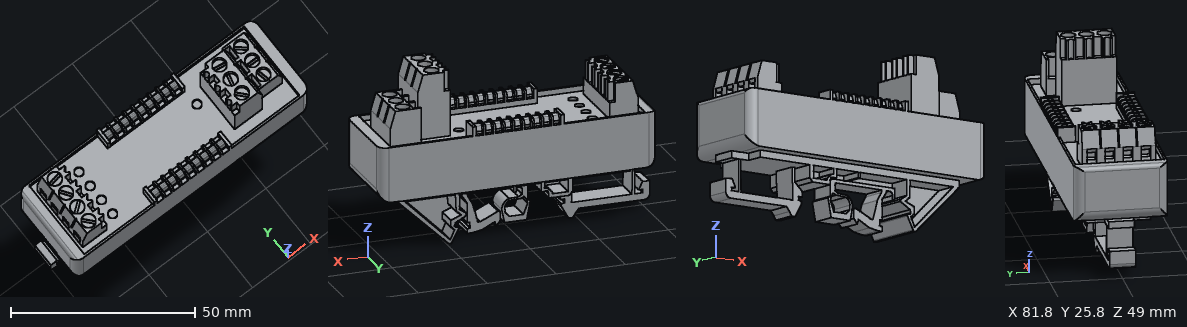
import cadquery as cq
import math


CASE_LENGTH = 80.55
CASE_WIDTH = 25.8
CASE_HEIGHT = 16.0
CORNER_RADIUS = 2.6
BOTTOM_RADIUS = 3.5
TOP_EDGE_RADIUS = 1.15
POCKET_START = 3.5
POCKET_END = 77.2
POCKET_WIDTH = 24.5
POCKET_DEPTH = 1.6
FLOOR_Z = CASE_HEIGHT - POCKET_DEPTH

INDICATOR_DIAMETER = 2.6
INDICATOR_DEPTH = 0.8
INDICATOR_ROW_X = 16.9
SINGLE_INDICATOR = (54.0, 3.1)

POLE_PITCH = 5.0
END_ALLOWANCE = 0.25
LOW_BLOCK_TOP = 24.7
TALL_BLOCK_TOP = 33.1
SLOPE_RUN = 1.5
SLOPE_HEIGHT = 4.9
SCREW_DIAMETER = 4.0
SLOT_WIDTH = 0.7
SLOT_DEPTH = 0.5
NOTCH_DEPTH = 1.7
NOTCH_HEIGHT = 5.5
TOOTH_WIDTH = 2.6
RIB_GROOVE_RADIUS = 0.78
REAR_POCKET_WIDTH = 4.0
REAR_POCKET_DEPTH = 2.05
JOINT_GROOVE_WIDTH = 0.3
JOINT_GROOVE_DEPTH = 0.25
SHALLOW_RECESS = 0.5
DEEP_RECESS = 1.7

LEFT_BLOCK_X = 4.7
LEFT_BLOCK_LENGTH = 8.25
LEFT_SCREW_X = 4.0
LEFT_SLOT_ANGLES = (-48, 38, -55, 10)
TALL_BLOCK_X = 67.05
TALL_BLOCK_LENGTH = 9.4
TALL_SCREW_X = 4.9
TALL_BLOCK_Y = -1.2
TALL_SLOT_ANGLES = (-8, 76, -48)
END_BLOCK_X = 76.0
END_BLOCK_LENGTH = END_BLOCK_X - TALL_BLOCK_X
END_SCREW_X = 4.5
END_BLOCK_Y = 1.3
END_SLOT_ANGLES = (-42, 0, -78)

ENTRY_WIDTH = 2.6
ENTRY_HEIGHT = 4.3
ENTRY_BORE_HEIGHT = 2.05
ENTRY_FUNNEL_DEPTH = 0.37
ENTRY_DEPTH = 2.45

STRIP_START = 27.1
STRIP_LENGTH = 26.5
STRIP_WIDTH = 5.0
STRIP_TOP = 18.7
CONTACT_COUNT = 9
END_PLATE = 1.0
DIVIDER = 0.61
DIVIDER_RADIUS = 1.0
CONTACT_HALF_WIDTH = 1.3
CONTACT_SHOULDER_Z = 16.8
CONTACT_BEND_Z = 18.2
CONTACT_CREST_Z = 18.6

FOOT_WIDTH = 18.0
BAR_START = 6.5
BAR_END = 73.75
CLIP_WIDTH = 7.2
HOOK_TIP_X = -1.2
BAR_Z = -2.0
FLANGE_TOP = -3.5
FLANGE_BOTTOM = -4.5
STOP_END = 32.3
HOOK_START = 55.9
CROSS_RIB_X = 39.5
CROSS_RIB_WIDTH = 0.7
FOOT_BOTTOM = -15.95
WEB_WIDTH = 4.9


def box(x0, x1, y0, y1, z0, z1):
    """Box between two corners."""
    return cq.Workplane("XY").box(x1 - x0, y1 - y0, z1 - z0, centered=False).translate((x0, y0, z0))


def side_plate(outline, width, centre_y=0.0):
    """Extrude a closed XZ outline along Y, symmetric about centre_y."""
    return outline.extrude(width / 2, both=True).translate((0, centre_y, 0))


def side_polygon(points, width, centre_y=0.0):
    """Plate with a straight-sided XZ outline."""
    return side_plate(cq.Workplane("XZ").polyline(points).close(), width, centre_y)


def make_case():
    """Rounded case whose end faces meet the side roundings in mitres."""
    diagonal = 1 - math.sqrt(0.5)
    bottom_mid = BOTTOM_RADIUS * diagonal
    top_mid = TOP_EDGE_RADIUS * diagonal
    side = (
        cq.Workplane("XZ")
        .moveTo(BOTTOM_RADIUS, 0)
        .threePointArc((bottom_mid, bottom_mid), (0, BOTTOM_RADIUS))
        .lineTo(0, CASE_HEIGHT - TOP_EDGE_RADIUS)
        .threePointArc((top_mid, CASE_HEIGHT - top_mid), (TOP_EDGE_RADIUS, CASE_HEIGHT))
        .lineTo(CASE_LENGTH, CASE_HEIGHT)
        .lineTo(CASE_LENGTH, BOTTOM_RADIUS)
        .threePointArc((CASE_LENGTH - bottom_mid, bottom_mid), (CASE_LENGTH - BOTTOM_RADIUS, 0))
        .close()
    )
    half = CASE_WIDTH / 2
    plan = box(0, CASE_LENGTH, -half, half, 0, CASE_HEIGHT).edges("|Z").fillet(CORNER_RADIUS)
    pocket = box(POCKET_START, POCKET_END, -POCKET_WIDTH / 2, POCKET_WIDTH / 2, FLOOR_Z, CASE_HEIGHT)
    indicator_row = [(INDICATOR_ROW_X, y) for y in pole_positions(len(LEFT_SLOT_ANGLES))]
    holes = (
        cq.Workplane("XY", origin=(0, 0, FLOOR_Z))
        .pushPoints(indicator_row + [SINGLE_INDICATOR])
        .circle(INDICATOR_DIAMETER / 2)
        .extrude(-INDICATOR_DEPTH)
    )
    return side_plate(side, CASE_WIDTH).intersect(plan).cut(pocket).cut(holes)


def pole_positions(poles):
    """Y positions of the poles of a block centred on Y = 0."""
    return [(i - (poles - 1) / 2) * POLE_PITCH for i in range(poles)]


def terminal_block(length, top, slot_angles, screw_x, recess):
    """Block with its sloped wire side at X = 0, screws recessed in its top.

    The slot angles are listed from the lowest pole in Y to the highest.
    """
    poles = len(slot_angles)
    width = poles * POLE_PITCH + END_ALLOWANCE
    slope_z = top - SLOPE_HEIGHT
    body = side_polygon(
        [(0, FLOOR_Z), (0, slope_z), (SLOPE_RUN, top), (length, top), (length, FLOOR_Z)], width
    )
    for y, angle in zip(pole_positions(poles), slot_angles):
        well = cq.Workplane("XY").circle(SCREW_DIAMETER / 2).extrude(recess)
        slot = cq.Workplane("XY").rect(SCREW_DIAMETER, SLOT_WIDTH).extrude(-SLOT_DEPTH)
        slot = slot.rotate((0, 0, 0), (0, 0, 1), angle)
        slot = slot.intersect(cq.Workplane("XY").circle(SCREW_DIAMETER / 2).extrude(-SLOT_DEPTH))
        floor_centre = (screw_x, y, top - recess)
        body = body.cut(well.translate(floor_centre)).cut(slot.translate(floor_centre))
    joint = [
        (-JOINT_GROOVE_DEPTH, slope_z),
        (SLOPE_RUN - JOINT_GROOVE_DEPTH, top),
        (SLOPE_RUN + JOINT_GROOVE_DEPTH, top),
        (JOINT_GROOVE_DEPTH, slope_z),
    ]
    for y in pole_positions(poles - 1):
        body = body.cut(side_polygon(joint, JOINT_GROOVE_WIDTH, y))
    return body


def cut_toothed_back(body, length, top, poles):
    """Leave one grooved tooth per pole along the upper back edge."""
    half = (poles * POLE_PITCH + END_ALLOWANCE) / 2
    notch = box(length - NOTCH_DEPTH, length, -half, half, top - NOTCH_HEIGHT, top)
    for y in pole_positions(poles):
        tooth = box(
            length - NOTCH_DEPTH, length, y - TOOTH_WIDTH / 2, y + TOOTH_WIDTH / 2, top - NOTCH_HEIGHT, top
        )
        groove = (
            cq.Workplane("XY", origin=(length, y, top))
            .circle(RIB_GROOVE_RADIUS)
            .extrude(-NOTCH_HEIGHT)
        )
        notch = notch.cut(tooth.cut(groove))
    return body.cut(notch)


def cut_wire_entries(body, slope_z, poles):
    """Openings below the slope that taper in height to a rectangular bore."""
    middle = slope_z - ENTRY_HEIGHT / 2
    bore = ENTRY_BORE_HEIGHT / 2
    outline = [
        (0, slope_z),
        (ENTRY_FUNNEL_DEPTH, middle + bore),
        (ENTRY_DEPTH, middle + bore),
        (ENTRY_DEPTH, middle - bore),
        (ENTRY_FUNNEL_DEPTH, middle - bore),
        (0, slope_z - ENTRY_HEIGHT),
    ]
    for y in pole_positions(poles):
        body = body.cut(side_polygon(outline, ENTRY_WIDTH, y))
    return body


def cut_rear_pockets(body, length, top, poles):
    """One rectangular pocket per pole in the upper back edge."""
    half = REAR_POCKET_WIDTH / 2
    for y in pole_positions(poles):
        body = body.cut(box(length - REAR_POCKET_DEPTH, length, y - half, y + half, top - NOTCH_HEIGHT, top))
    return body


def make_left_block():
    poles = len(LEFT_SLOT_ANGLES)
    body = terminal_block(LEFT_BLOCK_LENGTH, LOW_BLOCK_TOP, LEFT_SLOT_ANGLES, LEFT_SCREW_X, SHALLOW_RECESS)
    body = cut_toothed_back(body, LEFT_BLOCK_LENGTH, LOW_BLOCK_TOP, poles)
    body = cut_wire_entries(body, LOW_BLOCK_TOP - SLOPE_HEIGHT, poles)
    return body.translate((LEFT_BLOCK_X, 0, 0))


def face_right(body, x, y):
    """Turn a block so that its slope faces +X, and put its wire side at x."""
    return body.rotate((0, 0, 0), (0, 0, 1), 180).translate((x, y, 0))


def make_tall_block():
    poles = len(TALL_SLOT_ANGLES)
    body = terminal_block(TALL_BLOCK_LENGTH, TALL_BLOCK_TOP, TALL_SLOT_ANGLES, TALL_SCREW_X, DEEP_RECESS)
    body = cut_toothed_back(body, TALL_BLOCK_LENGTH, TALL_BLOCK_TOP, poles)
    return face_right(body, TALL_BLOCK_X, TALL_BLOCK_Y)


def make_end_block():
    poles = len(END_SLOT_ANGLES)
    body = terminal_block(END_BLOCK_LENGTH, LOW_BLOCK_TOP, END_SLOT_ANGLES, END_SCREW_X, DEEP_RECESS)
    body = cut_rear_pockets(body, END_BLOCK_LENGTH, LOW_BLOCK_TOP, poles)
    return face_right(body, END_BLOCK_X, END_BLOCK_Y)


def make_contact_strip():
    """Strip centred on Y = 0: base, two end plates, rounded dividers and contact ridges."""
    half = STRIP_WIDTH / 2
    end = STRIP_START + STRIP_LENGTH
    strip = box(STRIP_START, end, -half, half, FLOOR_Z, CASE_HEIGHT)
    for x in (STRIP_START, end - END_PLATE):
        strip = strip.union(box(x, x + END_PLATE, -half, half, FLOOR_Z, STRIP_TOP))
    first = STRIP_START + END_PLATE
    pitch = (STRIP_LENGTH - 2 * END_PLATE + DIVIDER) / CONTACT_COUNT
    for i in range(1, CONTACT_COUNT):
        x = first + i * pitch - DIVIDER
        divider = box(x, x + DIVIDER, -half, half, FLOOR_Z, STRIP_TOP)
        strip = strip.union(divider.edges("|X and >Z").fillet(DIVIDER_RADIUS))
    ridge = (
        cq.Workplane("YZ", origin=(first, 0, 0))
        .moveTo(-CONTACT_HALF_WIDTH, CASE_HEIGHT)
        .lineTo(-CONTACT_HALF_WIDTH, CONTACT_SHOULDER_Z)
        .lineTo(-0.7, CONTACT_BEND_Z)
        .threePointArc((-0.5, 18.5), (-0.205, CONTACT_CREST_Z))
        .lineTo(0.205, CONTACT_CREST_Z)
        .threePointArc((0.5, 18.5), (0.7, CONTACT_BEND_Z))
        .lineTo(CONTACT_HALF_WIDTH, CONTACT_SHOULDER_Z)
        .lineTo(CONTACT_HALF_WIDTH, CASE_HEIGHT)
        .close()
    )
    return strip.union(ridge.extrude(STRIP_LENGTH - 2 * END_PLATE))


def make_foot():
    """Fixed foot: mounting bar, hollow end stop and hollow triangular rail hook.

    Both hollows are open at the sides and closed by a web in the middle.
    """
    bar = box(BAR_START, BAR_END, -FOOT_WIDTH / 2, FOOT_WIDTH / 2, BAR_Z, 0)
    stop = [
        (23.15, BAR_Z),
        (23.15, -5.6),
        (24.1, -6.6),
        (30.1, -6.6),
        (30.1, -5.3),
        (30.4, FLANGE_BOTTOM),
        (STOP_END, FLANGE_BOTTOM),
        (STOP_END, BAR_Z),
    ]
    stop_hollow = [
        (24.45, BAR_Z),
        (24.45, -5.5),
        (28.95, -5.5),
        (29.1, -4.9),
        (30.4, -3.7),
        (31.2, FLANGE_TOP),
        (31.2, BAR_Z),
    ]
    hook = (
        cq.Workplane("XZ")
        .moveTo(BAR_END, BAR_Z)
        .lineTo(59.1, FOOT_BOTTOM)
        .lineTo(58.3, FOOT_BOTTOM)
        .lineTo(58.05, -15.5)
        .lineTo(56.2, -11.9)
        .threePointArc((56.2, -11.6), (56.5, -11.45))
        .lineTo(57.1, -11.4)
        .lineTo(57.4, -10.95)
        .lineTo(57.1, -10.1)
        .lineTo(53.8, -8.25)
        .lineTo(54.05, -7.6)
        .lineTo(HOOK_START, -6.4)
        .lineTo(HOOK_START, BAR_Z)
        .close()
    )
    hook_hollow = [
        (57.15, BAR_Z),
        (71.7, BAR_Z),
        (58.6, -14.8),
        (57.4, -12.1),
        (58.5, -11.2),
        (58.5, -9.15),
        (55.5, -8.0),
        (56.9, -6.9),
    ]
    foot = bar.union(side_polygon(stop, FOOT_WIDTH)).union(side_plate(hook, FOOT_WIDTH))
    hollow_depth = (FOOT_WIDTH - WEB_WIDTH) / 2
    for points in (stop_hollow, hook_hollow):
        for side in (-1, 1):
            foot = foot.cut(side_polygon(points, hollow_depth, side * (FOOT_WIDTH - hollow_depth) / 2))
    middle_web = box(STOP_END, HOOK_START, -WEB_WIDTH / 2, WEB_WIDTH / 2, FLANGE_TOP, BAR_Z)
    rib_end = CROSS_RIB_X + CROSS_RIB_WIDTH
    cross_rib = box(CROSS_RIB_X, rib_end, -FOOT_WIDTH / 2, FOOT_WIDTH / 2, FLANGE_TOP, BAR_Z)
    return foot.union(middle_web).union(cross_rib)


def make_guide_flange():
    """Flange below the middle web, rounded down into the triangular hook."""
    outline = (
        cq.Workplane("XZ")
        .moveTo(STOP_END, FLANGE_TOP)
        .lineTo(HOOK_START, FLANGE_TOP)
        .lineTo(HOOK_START, -6.4)
        .lineTo(55.0, -7.0)
        .lineTo(55.3, -5.6)
        .threePointArc((54.95, -4.9), (54.2, FLANGE_BOTTOM))
        .lineTo(STOP_END, FLANGE_BOTTOM)
        .close()
    )
    return side_plate(outline, CLIP_WIDTH)


def make_clip_frame():
    """Sliding frame with the release hook at its left end."""
    outline = (
        cq.Workplane("XZ")
        .moveTo(0.7, 0)
        .lineTo(0.7, BAR_Z)
        .lineTo(3.1, BAR_Z)
        .lineTo(3.1, -11.0)
        .lineTo(0.8, -11.0)
        .lineTo(0.8, -10.05)
        .lineTo(2.05, -10.05)
        .lineTo(0.9, -7.7)
        .lineTo(HOOK_TIP_X, -7.85)
        .lineTo(HOOK_TIP_X, -11.5)
        .threePointArc((-0.7, -12.7), (0.4, -13.2))
        .lineTo(19.3, -13.1)
        .lineTo(20.3, -14.3)
        .lineTo(21.0, -15.5)
        .lineTo(22.3, -15.5)
        .lineTo(24.45, -11.8)
        .lineTo(24.45, -11.0)
        .lineTo(23.5, -10.8)
        .lineTo(23.5, -9.8)
        .lineTo(24.7, -9.8)
        .lineTo(24.7, -8.3)
        .lineTo(22.2, -6.0)
        .lineTo(22.2, 0)
        .close()
    )
    window = [(3.8, BAR_Z), (4.0, -11.0), (21.5, -11.0), (21.2, BAR_Z)]
    return side_plate(outline, CLIP_WIDTH).cut(side_polygon(window, CLIP_WIDTH))


def make_spring_ring():
    """Ring hanging from the guide flange by a short stem."""
    outline = (
        cq.Workplane("XZ")
        .moveTo(34.1, FLANGE_BOTTOM)
        .lineTo(34.1, -8.4)
        .lineTo(33.4, -8.9)
        .lineTo(34.4, -14.3)
        .lineTo(40.9, -14.3)
        .lineTo(41.7, -10.3)
        .threePointArc((41.05, -8.4), (39.6, -7.4))
        .lineTo(36.8, -7.3)
        .lineTo(35.8, -6.6)
        .lineTo(35.8, -5.1)
        .lineTo(36.1, FLANGE_BOTTOM)
        .close()
    )
    hole = (
        cq.Workplane("XZ")
        .moveTo(35.25, -7.45)
        .lineTo(36.15, -7.85)
        .lineTo(39.4, -8.0)
        .threePointArc((40.4, -8.8), (40.8, -10.0))
        .lineTo(40.6, -11.4)
        .lineTo(39.5, -12.6)
        .lineTo(35.4, -12.6)
        .lineTo(34.2, -9.5)
        .lineTo(34.6, -8.2)
        .close()
    )
    return side_plate(outline, CLIP_WIDTH).cut(side_plate(hole, CLIP_WIDTH))


def make_catch_arm():
    """Slanted arm below the guide flange with a hook at each end of its toe."""
    outline = [
        (51.6, FLANGE_BOTTOM),
        (51.4, -5.15),
        (50.1, -7.45),
        (48.6, -13.0),
        (47.9, -13.0),
        (42.8, -10.6),
        (42.1, -10.9),
        (42.1, -13.6),
        (43.25, -15.0),
        (43.7, -13.65),
        (47.3, -15.45),
        (50.1, FOOT_BOTTOM),
        (51.7, FOOT_BOTTOM),
        (51.7, -14.6),
        (50.9, -14.4),
        (50.95, -12.75),
        (51.7, -12.75),
        (51.7, -7.2),
        (53.4, FLANGE_BOTTOM),
    ]
    return side_polygon(outline, CLIP_WIDTH)


result = make_case()
for block in (make_left_block(), make_tall_block(), make_end_block()):
    result = result.union(block)

strip_y = (CASE_WIDTH - STRIP_WIDTH) / 2
contact_strip = make_contact_strip()
for y in (-strip_y, strip_y):
    result = result.union(contact_strip.translate((0, y, 0)))

rail_parts = (make_foot(), make_guide_flange(), make_clip_frame(), make_spring_ring(), make_catch_arm())
for piece in rail_parts:
    result = result.union(piece)